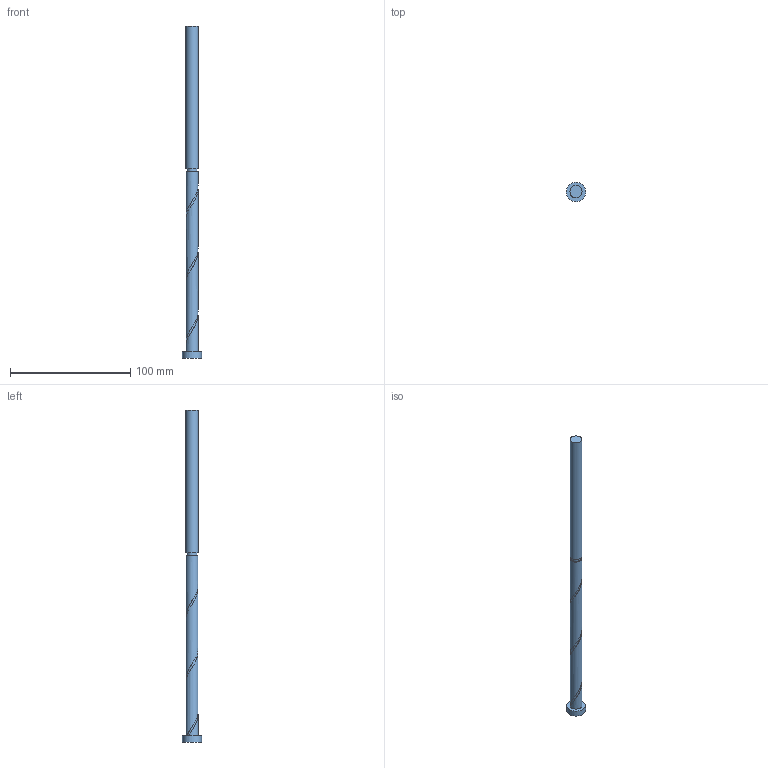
import cadquery as cq
import math

total_length = 276.65
head_diameter = 16.0
head_height = 5.0
shank_diameter = 10.0
grooved_length = 150.0
neck_diameter = 8.0
neck_length = 2.65

groove_pitch = 52.5
groove_width = 1.8
groove_depth = 0.5
groove_crossing_z = 37.4

shank_radius = shank_diameter / 2
neck_bottom = head_height + grooved_length
neck_top = neck_bottom + neck_length
plain_length = total_length - neck_top


def cylinder(diameter, bottom, height):
    """Upright cylinder on the pin's axis."""
    return cq.Workplane("XY").workplane(offset=bottom).circle(diameter / 2).extrude(height)


def spiral_cutter():
    """Rectangular bar wound round the shank, overrunning the grooved length at both ends."""
    overrun = 2 * groove_width
    start_z = head_height - overrun
    wound_height = grooved_length + 2 * overrun
    start_angle = 360 * (start_z - groove_crossing_z) / groove_pitch
    path = cq.Wire.makeHelix(groove_pitch, wound_height, shank_radius)
    tangent = cq.Vector(0, math.pi * shank_diameter, groove_pitch)
    section_plane = cq.Plane(origin=(shank_radius, 0, 0), xDir=(1, 0, 0), normal=tangent)
    bar = (
        cq.Workplane(section_plane)
        .rect(2 * groove_depth, groove_width)
        .sweep(cq.Workplane(path), isFrenet=True)
    )
    return bar.rotate((0, 0, 0), (0, 0, 1), start_angle).translate((0, 0, start_z))


head = cylinder(head_diameter, 0, head_height)
grooved_shank = cylinder(shank_diameter, head_height, grooved_length).cut(spiral_cutter())
neck = cylinder(neck_diameter, neck_bottom, neck_length)
plain_shank = cylinder(shank_diameter, neck_top, plain_length)

result = head.union(grooved_shank).union(neck).union(plain_shank)